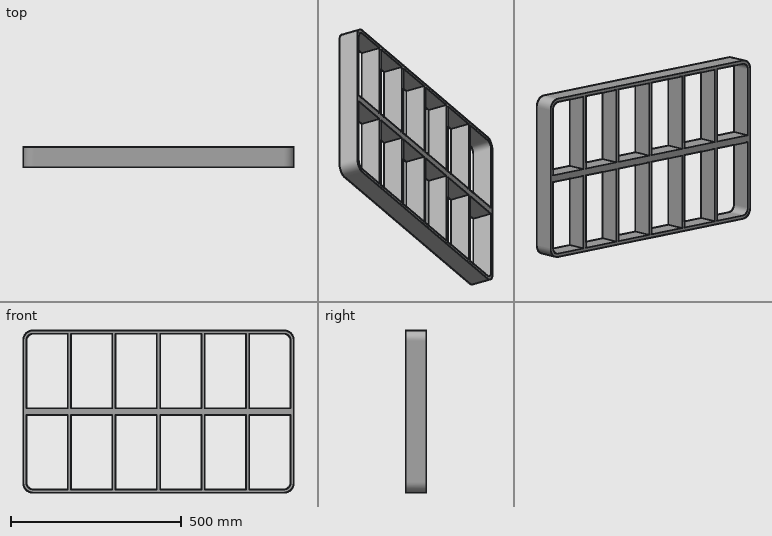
import cadquery as cq

length = 793.0
depth = 60.0
height = 476.0
wall = 10.0
corner_radius = 30.0
inner_radius = corner_radius - wall

columns = 6
middle_bar = 2 * wall
inner_length = length - 2 * wall
inner_height = height - 2 * wall
column_pitch = (length - wall) / columns


def upright_block(size_x, size_z):
    """Block centred on the origin, spanning the full frame depth along Y."""
    return cq.Workplane("XY").box(size_x, depth, size_z)


outside = upright_block(length, height).edges("|Y").fillet(corner_radius)
opening = upright_block(inner_length, inner_height).edges("|Y").fillet(inner_radius)
result = outside.cut(opening)

result = result.union(upright_block(length - wall, middle_bar))

for index in range(1, columns):
    divider_x = index * column_pitch - (length - wall) / 2
    divider = upright_block(wall, height - wall).translate((divider_x, 0, 0))
    result = result.union(divider)